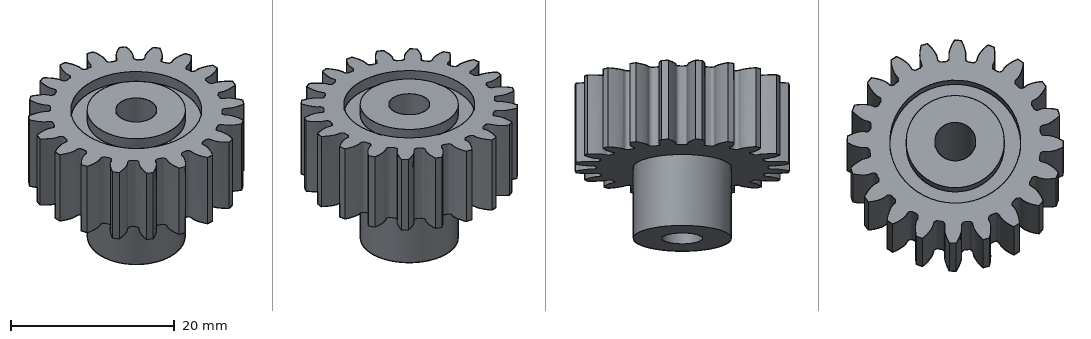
import cadquery as cq
import math

tooth_count = 20
tip_diameter = 26.4
pressure_angle = math.radians(20)
gear_width = 10.0
root_fillet = 0.47
dedendum_factor = 1.25

module = tip_diameter / (tooth_count + 2)
tip_radius = tip_diameter / 2
pitch_radius = tooth_count * module / 2
root_radius = pitch_radius - dedendum_factor * module
base_radius = pitch_radius * math.cos(pressure_angle)
tooth_pitch = 2 * math.pi / tooth_count

hub_diameter = 12.0
hub_length = 8.98
bore_diameter = 5.0
recess_diameter = 16.0
recess_depth = 1.5

total_height = hub_length + gear_width
flank_steps = 6


def involute(angle):
    return math.tan(angle) - angle


def half_tooth_angle(radius):
    """Angle from the tooth centreline to its flank; radial below the base circle."""
    flank_angle = math.acos(min(1, base_radius / radius))
    return tooth_pitch / 4 + involute(pressure_angle) - involute(flank_angle)


def polar(radius, angle):
    return (radius * math.cos(angle), radius * math.sin(angle))


def make_gear():
    """Toothed disc with a tooth space centred on each of the X and Y axes."""
    tip_roll = math.sqrt((tip_radius / base_radius) ** 2 - 1)
    rolls = [tip_roll * i / flank_steps for i in range(flank_steps + 1)]
    flank_radii = [base_radius * math.hypot(1, roll) for roll in rolls]
    root_half_angle = half_tooth_angle(root_radius)

    first_centre = tooth_pitch / 2
    outline = cq.Workplane("XY").workplane(offset=hub_length)
    outline = outline.moveTo(*polar(root_radius, first_centre - root_half_angle))
    for i in range(tooth_count):
        centre = first_centre + i * tooth_pitch
        rising = [polar(r, centre - half_tooth_angle(r)) for r in flank_radii]
        falling = [polar(r, centre + half_tooth_angle(r)) for r in reversed(flank_radii)]
        next_root = centre + tooth_pitch - root_half_angle
        outline = (
            outline.lineTo(*rising[0])
            .spline(rising[1:], includeCurrent=True)
            .threePointArc(polar(tip_radius, centre), falling[0])
            .spline(falling[1:], includeCurrent=True)
            .lineTo(*polar(root_radius, centre + root_half_angle))
            .threePointArc(polar(root_radius, centre + tooth_pitch / 2), polar(root_radius, next_root))
        )
    gear = outline.close().extrude(gear_width)

    middle_radius = (root_radius + base_radius) / 2
    root_corners = gear.edges("|Z").filter(
        lambda edge: math.hypot(edge.Center().x, edge.Center().y) < middle_radius
    )
    return root_corners.fillet(root_fillet)


def make_recess():
    """Ring cut into the top face, leaving a boss of the hub diameter."""
    return (
        cq.Workplane("XY")
        .workplane(offset=total_height - recess_depth)
        .circle(recess_diameter / 2)
        .circle(hub_diameter / 2)
        .extrude(recess_depth)
    )


hub = cq.Workplane("XY").circle(hub_diameter / 2).extrude(hub_length)
bore = cq.Workplane("XY").circle(bore_diameter / 2).extrude(total_height)

result = make_gear().union(hub).cut(make_recess()).cut(bore)